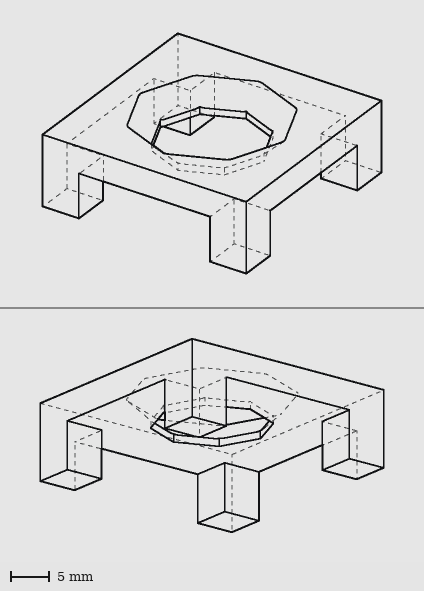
import cadquery as cq
import math

plate_side = 31.6
plate_thickness = 4.0
total_height = 10.7
leg_side = 5.65
leg_height = total_height - plate_thickness

side_count = 8
throat_radius = 8.0
throat_height = 1.0
funnel_depth = plate_thickness - throat_height
funnel_mouth_radius = throat_radius + funnel_depth / math.cos(math.pi / side_count)
funnel_corner_diameter = 4.0


def make_plate():
    return cq.Workplane("XY").workplane(offset=leg_height).rect(plate_side, plate_side).extrude(plate_thickness)


def make_legs():
    leg_spacing = plate_side - leg_side
    return (
        cq.Workplane("XY")
        .rect(leg_spacing, leg_spacing, forConstruction=True)
        .vertices()
        .rect(leg_side, leg_side)
        .extrude(leg_height)
    )


def make_throat():
    return (
        cq.Workplane("XY")
        .workplane(offset=leg_height)
        .polygon(side_count, 2 * throat_radius)
        .extrude(plate_thickness)
    )


def make_funnel():
    """Tapered octagonal cutter with rounded sloping edges."""
    funnel = (
        cq.Workplane("XY")
        .workplane(offset=leg_height + throat_height)
        .polygon(side_count, 2 * throat_radius)
        .workplane(offset=funnel_depth)
        .polygon(side_count, 2 * funnel_mouth_radius)
        .loft(ruled=True)
    )
    return funnel.edges("not #Z").fillet(funnel_corner_diameter / 2)


result = make_plate().union(make_legs()).cut(make_throat()).cut(make_funnel())